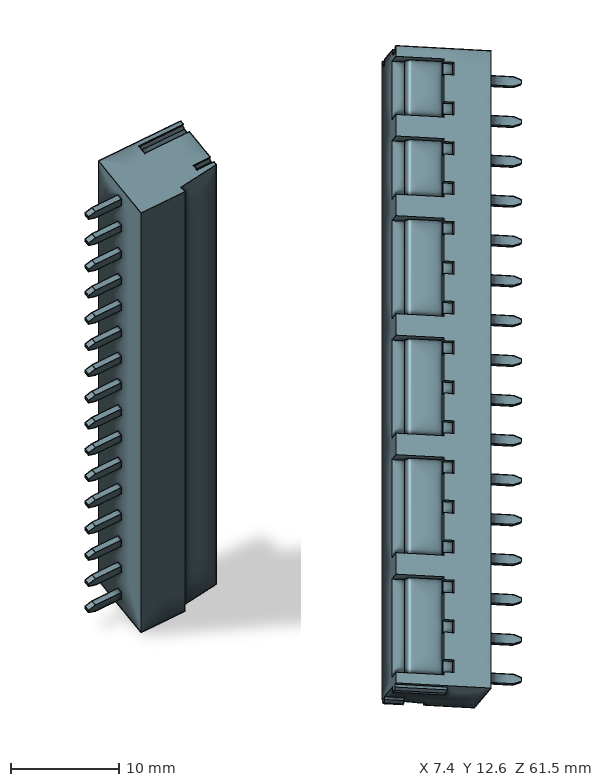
import cadquery as cq

pitch = 3.81
poles_per_window = [2, 2, 3, 3, 3, 3]
pole_count = sum(poles_per_window)

width = 7.4
depth = 9.0
height = pole_count * pitch
left = -width / 2
back = depth / 2
front = -depth / 2
top = height / 2
bottom = -height / 2

flank_end_width = 6.2
flank_step_width = 6.75
flank_length = 4.2

window_rib = 2.06
window_length = 4.55
window_shallow = 1.0
window_deep = 1.85
deep_length = 1.2
step_radius = 0.65

notch_length = 0.93
notch_height = 1.2
notch_depth = 0.6

key_height = 0.55
key_crest_height = 0.3
key_flare = 0.1
key_tip_inset = 0.18
large_key_center = 1.0
large_key_width = 1.05
large_key_length = 4.9
small_key_center = 5.46
small_key_width = 0.66
small_key_length = 1.85

pin_thickness = 0.6
pin_height = 0.9
pin_length = 3.6
pin_tip_length = 0.75
pin_tip_height = 0.35


def pole_z(index):
    return top - (index + 0.5) * pitch


def make_housing():
    outline = [
        (left, front),
        (left + width, front),
        (left + width, back - flank_length),
        (left + flank_step_width, back - flank_length),
        (left + flank_end_width, back),
        (left, back),
    ]
    return cq.Workplane("XY").workplane(offset=bottom).polyline(outline).close().extrude(height)


def make_window(z_top, poles):
    """Stepped, round-edged pocket spanning a group of poles, short of its ends by half a rib."""
    deep_x = left + window_deep
    shallow_x = left + window_shallow
    step_y = back - deep_length
    inner_y = back - window_length
    profile = (
        cq.Workplane("XY")
        .moveTo(left, back)
        .lineTo(deep_x, back)
        .lineTo(deep_x, step_y)
        .lineTo(shallow_x + step_radius, step_y)
        .radiusArc((shallow_x, step_y - step_radius), -step_radius)
        .lineTo(shallow_x, inner_y)
        .lineTo(left, inner_y)
        .close()
    )
    window_height = poles * pitch - window_rib
    z_bottom = z_top - window_rib / 2 - window_height
    return profile.extrude(window_height).translate((0, 0, z_bottom))


def make_notch(z):
    notch = cq.Workplane("XY").box(notch_depth, notch_length, notch_height, centered=(False, False, True))
    return notch.translate((left, back - window_length - notch_length, z))


def make_key(center, key_width, length, z_root):
    """Six-sided bar along the +Y end, hanging down from z_root and widest at its crest."""
    x = left + center
    root = key_width / 2
    crest = root + key_flare
    tip = root - key_tip_inset
    z_crest = z_root - key_crest_height
    z_tip = z_root - key_height
    outline = [
        (x - root, z_root),
        (x + root, z_root),
        (x + crest, z_crest),
        (x + tip, z_tip),
        (x - tip, z_tip),
        (x - crest, z_crest),
    ]
    return cq.Workplane("XZ", origin=(0, back, 0)).polyline(outline).close().extrude(length)


def make_pin(z):
    """Flat pin, tapered in height towards its tip."""
    shoulder = front - pin_length + pin_tip_length
    tip = front - pin_length
    outline = [
        (front, z - pin_height / 2),
        (shoulder, z - pin_height / 2),
        (tip, z - pin_tip_height / 2),
        (tip, z + pin_tip_height / 2),
        (shoulder, z + pin_height / 2),
        (front, z + pin_height / 2),
    ]
    return cq.Workplane("YZ").polyline(outline).close().extrude(pin_thickness / 2, both=True)


result = make_housing()

window_top = top
for poles in poles_per_window:
    result = result.cut(make_window(window_top, poles))
    window_top -= poles * pitch

keys = [
    (large_key_center, large_key_width, large_key_length),
    (small_key_center, small_key_width, small_key_length),
]
for center, key_width, length in keys:
    result = result.cut(make_key(center, key_width, length, top))
    result = result.union(make_key(center, key_width, length, bottom))

for pole in range(pole_count):
    result = result.cut(make_notch(pole_z(pole)))
    result = result.union(make_pin(pole_z(pole)))